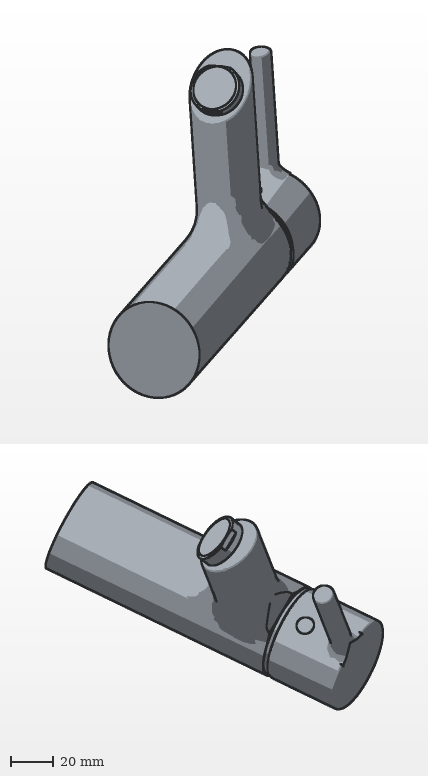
import cadquery as cq
import math


tilt = 9.5
body_radius = 23.3
overrun = 32.3

body_end = 120.9
head_start = 123.3
head_end = 160.1
skew_end = 130.2

neck_start_radius = 22.8
neck_mid = 125.4
neck_mid_radius = 21.3
neck_end = 132.5
neck_end_radius = 15.2

spout_radius = 15.4
spout_position = 103.7
spout_blend = 20.4
mouth_slope = 42.4
mouth_height = 93.0
mouth_rounding = 2.0
spout_back_radius = 6.5

aerator_radius = 12.1
aerator_length = 13.0
aerator_slope = 46.5
aerator_position = 95.8
aerator_height = 94.0
aerator_chamfer_radial = 1.5
aerator_chamfer_axial = 0.5
wrench_flat_offset = 11.0
wrench_flat_depth = 3.4

lever_radius = 5.2
lever_position = head_end - lever_radius
lever_height = 87.3
lever_blend = 6.5
lever_tip_rounding = 1.8
head_rounding = 1.5
marker_radius = 4.2
marker_position = 134.3
marker_depth = 0.2


def rod_along_y(radius, start, end):
    """Round bar on the body axis."""
    return cq.Workplane("XZ", origin=(0, start, 0)).circle(radius).extrude(start - end)


def rod_along_z(radius, position, height):
    """Round bar rising from the body axis."""
    return cq.Workplane("XY", origin=(0, position, 0)).circle(radius).extrude(height)


def side_prism(profile):
    """Extrude a closed YZ profile across the full width of the tap."""
    return profile.extrude(2 * body_radius, both=True)


def foot_edges(post, radius, top):
    """Select the edge where an upright rod meets the round body."""
    return cq.selectors.BoxSelector(
        (-radius - 1.6, post - radius - 1.6, 1.6),
        (radius + 1.6, post + radius + 1.6, top),
        boundingbox=True,
    )


def make_spout_and_body():
    body = rod_along_y(body_radius, -overrun, body_end + overrun)
    spout = rod_along_z(spout_radius, spout_position, mouth_height + overrun)
    solid = body.union(spout)
    solid = solid.edges(foot_edges(spout_position, spout_radius, body_radius + 1.6)).fillet(spout_blend)

    spout_back = spout_position + spout_radius
    hollow_drop = math.sqrt(spout_back_radius**2 - (spout_back_radius - body_end + spout_back) ** 2)
    hollow_top = body_radius + hollow_drop
    top = hollow_top + spout_blend
    far = body_end + 2 * overrun
    mid_angle = math.acos(1 - (body_end - spout_back) / spout_back_radius) / 2
    trim = side_prism(
        cq.Workplane("YZ")
        .moveTo(far, top)
        .lineTo(spout_back, top)
        .lineTo(spout_back, hollow_top)
        .threePointArc(
            (spout_back + spout_back_radius * (1 - math.cos(mid_angle)),
             hollow_top - spout_back_radius * math.sin(mid_angle)),
            (body_end, body_radius),
        )
        .lineTo(body_end, -body_radius - 1.6)
        .lineTo(far, -body_radius - 1.6)
        .close()
    )
    solid = solid.cut(trim)

    rise = math.tan(math.radians(mouth_slope)) * overrun
    mouth = side_prism(
        cq.Workplane("YZ")
        .moveTo(spout_position - overrun, mouth_height - rise)
        .lineTo(spout_position + overrun, mouth_height + rise)
        .lineTo(spout_position + overrun, mouth_height + 2 * overrun)
        .lineTo(spout_position - overrun, mouth_height + 2 * overrun)
        .close()
    )
    solid = solid.cut(mouth)
    mouth_edge = cq.selectors.BoxSelector(
        (-body_radius, spout_position - overrun, mouth_height - spout_radius - 1.6),
        (body_radius, spout_position + overrun, mouth_height + spout_radius + 1.6),
        boundingbox=True,
    )
    return solid.edges(mouth_edge).fillet(mouth_rounding)


def make_aerator():
    angle = math.radians(aerator_slope)
    face = cq.Plane(
        origin=(0, aerator_position, aerator_height),
        xDir=(1, 0, 0),
        normal=(0, -math.sin(angle), math.cos(angle)),
    )
    aerator = cq.Workplane(face).circle(aerator_radius).extrude(-aerator_length)
    aerator = aerator.faces(cq.selectors.DirectionMinMaxSelector(face.zDir)).edges().chamfer(
        aerator_chamfer_axial, aerator_chamfer_radial
    )
    for side in (-1, 1):
        flat = (
            cq.Workplane(face)
            .center(0, side * (wrench_flat_offset + aerator_radius / 2))
            .rect(2 * aerator_radius, aerator_radius)
            .extrude(-wrench_flat_depth)
        )
        aerator = aerator.cut(flat)
    return aerator


def make_neck():
    return (
        cq.Workplane("YZ")
        .moveTo(body_end - 1.6, 0)
        .lineTo(body_end - 1.6, neck_start_radius)
        .lineTo(body_end, neck_start_radius)
        .threePointArc((neck_mid, neck_mid_radius), (neck_end, neck_end_radius))
        .lineTo(neck_end, 0)
        .close()
        .revolve(360, (0, 0, 0), (1, 0, 0))
    )


def make_head():
    head = rod_along_y(body_radius, head_start, head_end + overrun)
    lever = rod_along_z(lever_radius, lever_position, lever_height)
    lever = lever.faces(">Z").edges().fillet(lever_tip_rounding)
    head = head.union(lever)
    head = head.edges(foot_edges(lever_position, lever_radius, body_radius + 1.6)).fillet(lever_blend)

    back = cq.Workplane("XY").box(4 * body_radius, overrun * 2, 4 * lever_height)
    head = head.cut(back.translate((0, head_end + overrun, 0)))

    rounded = rod_along_y(body_radius, head_start, head_end).faces(">Y").edges().fillet(head_rounding)
    rim = rod_along_y(body_radius + 1.6, head_end - head_rounding, head_end).cut(rounded)
    blend_half_width = (lever_radius + lever_blend) * body_radius / (body_radius + lever_blend)
    lever_foot = cq.Workplane("XY").box(
        2 * blend_half_width, overrun, 2 * body_radius, centered=(True, True, False)
    )
    head = head.cut(rim.cut(lever_foot.translate((0, head_end, 0))))

    slant = side_prism(
        cq.Workplane("YZ")
        .moveTo(head_start, 0)
        .lineTo(skew_end, -body_radius)
        .lineTo(skew_end, -body_radius - 1.6)
        .lineTo(head_start - 1.6, -body_radius - 1.6)
        .lineTo(head_start - 1.6, 0)
        .close()
    )
    head = head.cut(slant)

    skin = rod_along_y(body_radius + 1.6, head_start, head_end).cut(
        rod_along_y(body_radius - marker_depth, head_start, head_end)
    )
    marker = rod_along_z(marker_radius, marker_position, body_radius + 1.6).intersect(skin)
    return head.cut(marker)


tap = make_spout_and_body().union(make_aerator()).union(make_neck()).union(make_head())
tap = tap.rotate((0, 0, 0), (1, 0, 0), tilt)

behind_wall = cq.Workplane("XY").box(4 * body_radius, 2 * overrun, 4 * body_radius)
result = tap.cut(behind_wall.translate((0, -overrun, 0)))